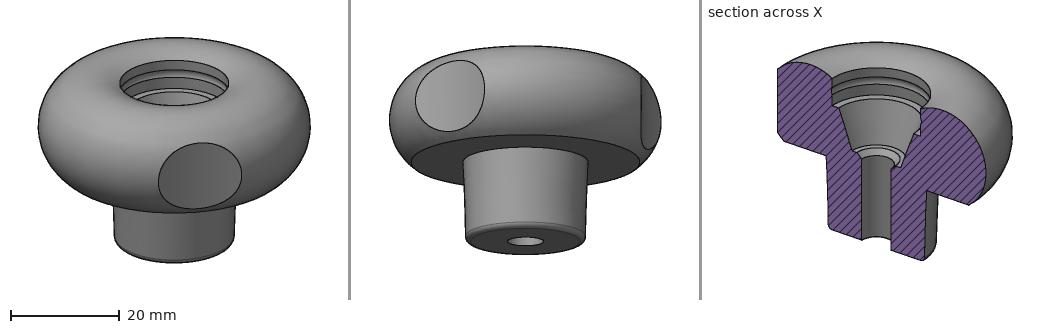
import cadquery as cq
import math

total_height = 33.0
stem_height = 15.0

outer_radius = 25.0
rim_radius = 10.0
rim_center_radius = outer_radius - rim_radius
rim_center_height = total_height - rim_radius
underside_drop = rim_center_height - stem_height
underside_radius = rim_center_radius + math.sqrt(rim_radius**2 - underside_drop**2)

stem_top_radius = 11.5
stem_base_radius = 11.0
stem_base_fillet = 1.0

scallop_radius = 25.0
scallop_bottom_radius = 22.5
scallop_back_angle = 90.0
scallop_left_spacing = 112.2
scallop_right_spacing = 110.2
scallop_angles = (
    scallop_back_angle - scallop_right_spacing,
    scallop_back_angle,
    scallop_back_angle + scallop_left_spacing,
)

recess_radius = 20.0 / 2
recess_floor_height = 26.0
groove_width = 1.5
groove_depth = 0.2
groove_height = 29.0

funnel_top_radius = 17.0 / 2
funnel_base_radius = 11.0 / 2
funnel_base_height = 18.0
hole_radius = 6.65 / 2
hole_mouth_radius = 8.75 / 2
hole_chamfer = hole_mouth_radius - hole_radius

rim_edge_height = rim_center_height + math.sqrt(rim_radius**2 - (rim_center_radius - recess_radius) ** 2)


def make_head():
    return (
        cq.Workplane("XZ")
        .moveTo(0, stem_height)
        .lineTo(underside_radius, stem_height)
        .threePointArc((rim_center_radius, total_height), (recess_radius, rim_edge_height))
        .lineTo(0, rim_edge_height)
        .close()
        .revolve(360, (0, 0), (0, 1))
    )


def make_stem():
    stem = (
        cq.Workplane("XZ")
        .lineTo(stem_base_radius, 0)
        .lineTo(stem_top_radius, stem_height)
        .lineTo(0, stem_height)
        .close()
        .revolve(360, (0, 0), (0, 1))
    )
    return stem.faces("<Z").edges().fillet(stem_base_fillet)


def make_scallop(angle):
    return (
        cq.Workplane("XY")
        .center(scallop_bottom_radius + scallop_radius, 0)
        .circle(scallop_radius)
        .extrude(total_height)
        .rotate((0, 0, 0), (0, 0, 1), angle)
    )


def make_bore():
    return (
        cq.Workplane("XZ")
        .lineTo(hole_radius, 0)
        .lineTo(hole_radius, funnel_base_height - hole_chamfer)
        .lineTo(hole_mouth_radius, funnel_base_height)
        .lineTo(funnel_base_radius, funnel_base_height)
        .lineTo(funnel_top_radius, recess_floor_height)
        .lineTo(recess_radius, recess_floor_height)
        .lineTo(recess_radius, groove_height - groove_width / 2)
        .threePointArc(
            (recess_radius + groove_depth, groove_height),
            (recess_radius, groove_height + groove_width / 2),
        )
        .lineTo(recess_radius, total_height)
        .lineTo(0, total_height)
        .close()
        .revolve(360, (0, 0), (0, 1))
    )


result = make_head().union(make_stem())
for angle in scallop_angles:
    result = result.cut(make_scallop(angle))
result = result.cut(make_bore())